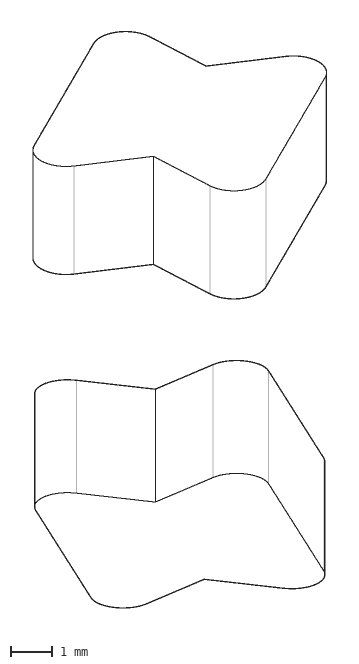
import cadquery as cq
import math

width = 5.8
length = 6.71
height = 3.0
corner_radius = 0.8
notch_slope = 30.0

slope = math.radians(notch_slope)
half_width = width / 2
round_center_x = half_width - corner_radius
round_center_y = length / 2 - corner_radius

face_rise_from_center = corner_radius / math.cos(slope)
notch_tip_y = round_center_y + face_rise_from_center - round_center_x * math.tan(slope)
sharp_corner_y = notch_tip_y + half_width * math.tan(slope)


def make_body():
    """Prism with straight sides and a V-notch in each Y end, corners still sharp."""
    outline = [
        (-half_width, -sharp_corner_y),
        (0, -notch_tip_y),
        (half_width, -sharp_corner_y),
        (half_width, sharp_corner_y),
        (0, notch_tip_y),
        (-half_width, sharp_corner_y),
    ]
    return cq.Workplane("XY").polyline(outline).close().extrude(height)


def round_outer_corners(body):
    """Round the vertical edges on both straight sides, leaving the notch tips sharp."""
    return body.faces("<X or >X").edges("|Z").fillet(corner_radius)


result = round_outer_corners(make_body())